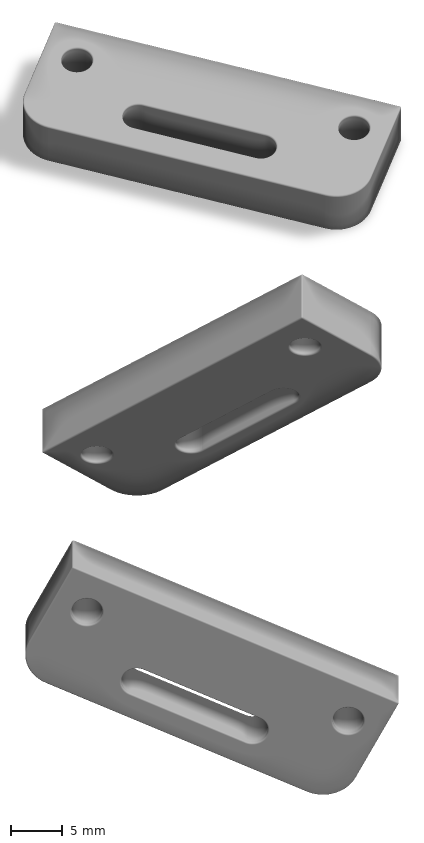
import cadquery as cq

length = 35.0
width = 13.0
thickness = 5.0
corner_radius = 3.5
edge_radius = 0.15

hole_diameter = 3.0
hole_spacing = 28.0
hole_from_back = 4.0

slot_width = 3.0
slot_straight_length = 12.4
slot_from_front = 4.0


def plate():
    """Plate centred on the origin, with its two front corners rounded."""
    block = cq.Workplane("XY").box(length, width, thickness)
    return block.edges("|Z and <Y").fillet(corner_radius)


def cut_holes(body):
    """Drill one through hole near each back corner."""
    hole_y = width / 2 - hole_from_back
    centres = [(side * hole_spacing / 2, hole_y) for side in (-1, 1)]
    top_plane = body.faces(">Z").workplane(origin=(0, 0, 0))
    return top_plane.pushPoints(centres).hole(hole_diameter)


def cut_slot(body):
    """Cut the round-ended slot through the plate near the front side."""
    slot_y = -width / 2 + slot_from_front
    slot_length = slot_straight_length + slot_width
    top_plane = body.faces(">Z").workplane(origin=(0, 0, 0))
    return top_plane.center(0, slot_y).slot2D(slot_length, slot_width).cutThruAll()


def round_edges(body):
    """Round every edge of the top and bottom faces and the two square back corners."""
    back_corners = body.edges("|Z and >Y")
    return body.faces("<Z or >Z").edges().add(back_corners).fillet(edge_radius)


result = round_edges(cut_slot(cut_holes(plate())))